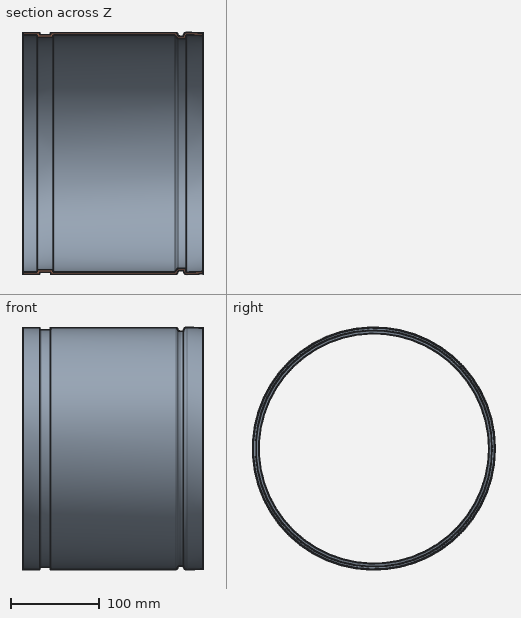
import cadquery as cq
import math

length = 203.2
tube_radius = 273.05 / 2
wall = 2.995

groove_start = 19.05
groove_width = 11.91
groove_radius = 268.27 / 2
groove_fillet = 0.9

deep_groove_radius = 265.18 / 2
outer_flank_middle = length - 28.6
outer_flank_lean = math.radians(18)
outer_flank_fillet = 2.2
inner_flank_middle = outer_flank_middle - 1.7
inner_flank_lean = math.radians(36)
inner_flank_fillet = 1.6

bead_radius = 273.71 / 2
bead_start = length - 22.2
bead_outer_fillet = 4.0
bead_inner_fillet = bead_outer_fillet - wall
bead_inner_corner_fillet = 1.0
rim_radius = 272.2 / 2


def add_step(profile, x, start_radius, end_radius, first_fillet, second_fillet, lean=0.0):
    """Continue a profile along a cylinder, then over a flank to another radius.

    A flank without lean is a radial face at x. A leaning flank crosses x halfway up.
    Each corner is rounded by its own fillet; a fillet of zero leaves it sharp.
    """
    rise = end_radius - start_radius
    outward = math.copysign(1, rise)
    half_run = abs(rise) / 2 * math.tan(lean)
    turn = math.pi / 2 - lean
    first_start = x - half_run - first_fillet * math.tan(turn / 2)
    second_end = x + half_run + second_fillet * math.tan(turn / 2)

    def first_point(angle):
        return (
            first_start + first_fillet * math.sin(angle),
            start_radius + outward * first_fillet * (1 - math.cos(angle)),
        )

    def second_point(angle):
        return (
            second_end - second_fillet * math.sin(angle),
            end_radius - outward * second_fillet * (1 - math.cos(angle)),
        )

    profile = profile.lineTo(*first_point(0))
    if first_fillet > 0:
        profile = profile.threePointArc(first_point(turn / 2), first_point(turn))
    profile = profile.lineTo(*second_point(turn))
    if second_fillet > 0:
        profile = profile.threePointArc(second_point(turn / 2), second_point(0))
    return profile


def revolved_skin(inset, flank_middle, flank_lean, flank_fillet, bead_corner_fillet, bead_fillet):
    """Solid bounded by one skin of the rolled tube, inset from the outer surface."""
    tube = tube_radius - inset
    groove = groove_radius - inset
    deep_groove = deep_groove_radius - inset
    bead = bead_radius - inset
    groove_end = groove_start + groove_width

    profile = cq.Workplane("XY").lineTo(0, tube)
    profile = add_step(profile, groove_start - inset, tube, groove, groove_fillet, groove_fillet)
    profile = add_step(profile, groove_end + inset, groove, tube, groove_fillet, groove_fillet)
    profile = add_step(
        profile, flank_middle, tube, deep_groove, flank_fillet, flank_fillet, flank_lean
    )
    profile = add_step(profile, bead_start + inset, deep_groove, bead, bead_corner_fillet, bead_fillet)
    profile = profile.lineTo(length, rim_radius - inset).lineTo(length, 0).close()
    return profile.revolve(360, (0, 0, 0), (1, 0, 0))


outer_body = revolved_skin(
    inset=0,
    flank_middle=outer_flank_middle,
    flank_lean=outer_flank_lean,
    flank_fillet=outer_flank_fillet,
    bead_corner_fillet=0,
    bead_fillet=bead_outer_fillet,
)
bore = revolved_skin(
    inset=wall,
    flank_middle=inner_flank_middle,
    flank_lean=inner_flank_lean,
    flank_fillet=inner_flank_fillet,
    bead_corner_fillet=bead_inner_corner_fillet,
    bead_fillet=bead_inner_fillet,
)
result = outer_body.cut(bore)